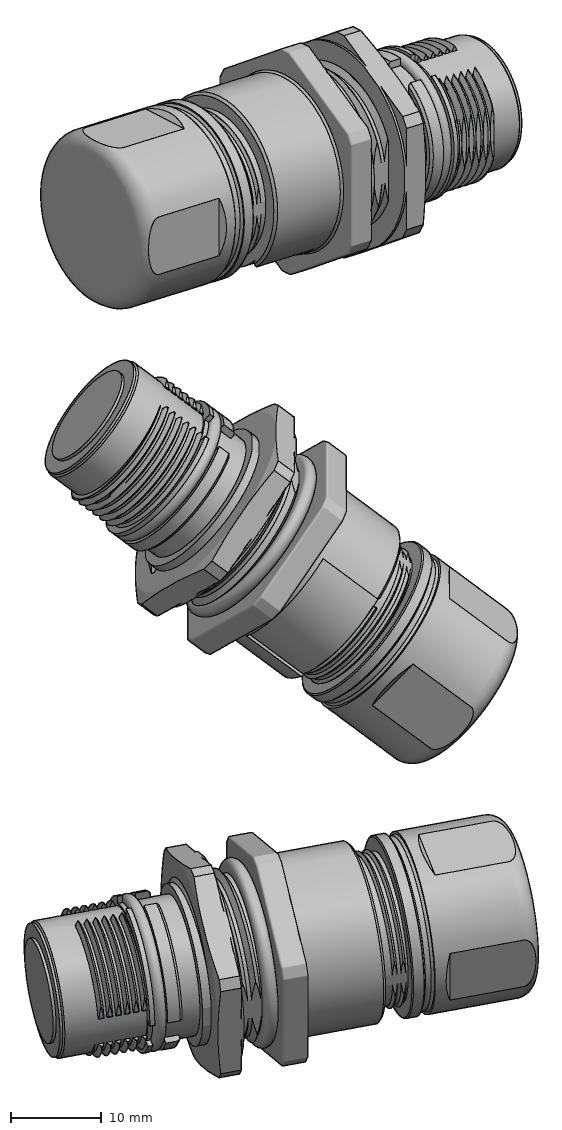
import cadquery as cq
import math

total_length = 54.85
overlap = 0.2
ridge_base_share = 0.9

cap_radius = 10.3
cap_face_radius = 8.23
cap_edge_round = cap_radius - cap_face_radius
cap_flat_distance = 9.7
cap_flat_end = 10.45
cap_end = 12.3
cap_groove_radius = 9.85
cap_groove_lip_radius = 10.0
cap_groove_start = 12.65
cap_groove_end = 13.3
collar_step_start = 13.55
collar_end = 14.93
collar_chamfer = 0.15

neck_root_radius = 8.56
neck_crest_radius = 8.9
neck_flat_distance = 8.53
neck_thread_start = 14.5
neck_thread_end = 17.75
neck_pitch = 1.0

body_radius = 10.3
body_start = 17.9
body_chamfer = 0.3
body_end = 27.27
body_base_radius = 10.5
body_base_height = 0.3
label_floor_radius = 9.66
label_half_width = 6.5
label_end = 26.1

hex_across_flats = 23.9
hex_across_corners = 26.8
flange_end = 30.17
flange_edge_round = 0.25
nut_start = 34.65
nut_end = 37.6
nut_boss_radius = 12.05
nut_boss_height = 0.3
nut_chamfer_height = 0.35

seal_radius = 10.7
seal_end = 31.8
seal_rear_round = 0.7

panel_root_radius = 9.15
panel_crest_radius = 9.87
panel_flat_distance = 9.05
panel_thread_start = 31.0
panel_thread_end = 38.45
panel_end = 38.6
panel_pitch = 1.5

rear_neck_radius = 8.0
rear_collar_radius = 8.86
front_collar_start = 40.8
front_collar_end = 42.53
front_collar_chamfer = 0.3
rear_collar_start = 44.0
rear_collar_end = 44.57

sleeve_radius = 7.74
sleeve_thread_crest_radius = 8.4
sleeve_thread_start = 43.84
sleeve_thread_end = 50.47
sleeve_pitch = 1.0
sleeve_edge_start = 54.0
sleeve_tip_radius = 7.55
sleeve_tip_start = 54.5
tip_radius = 5.92

top_keyway_range = (1.13, 4.74)
sleeve_side_keyway_range = (-2.73, 1.4)
collar_side_keyway_range = (-3.7, 0.0)


def cylinder(radius, start, end):
    """Cylinder about the Y axis between two Y positions."""
    return cq.Workplane("XZ", origin=(0, start, 0)).circle(radius).extrude(start - end)


def tube(inner_radius, outer_radius, start, end):
    """Tube about the Y axis between two Y positions."""
    bore = cylinder(inner_radius, start - overlap, end + overlap)
    return cylinder(outer_radius, start, end).cut(bore)


def turned_solid(outline):
    """Close an outline drawn with X as radius and Y as length, and turn it about the Y axis."""
    return outline.close().revolve(360, (0, 0, 0), (0, 1, 0))


def box_between(x_range, y_range, z_range):
    """Box spanning the given ranges."""
    ranges = (x_range, y_range, z_range)
    sizes = [high - low for low, high in ranges]
    centre = tuple((low + high) / 2 for low, high in ranges)
    return cq.Workplane("XY").box(*sizes).translate(centre)


def thread_ridge(root_radius, crest_radius, start, end, pitch):
    """Right-handed V ridge around the Y axis, rooted slightly below the thread root."""
    inner_radius = root_radius - overlap
    half_base = ridge_base_share * pitch / 2
    height = end - start - 2 * half_base

    def helix(radius, offset):
        return cq.Wire.makeHelix(pitch, height, radius).translate(cq.Vector(0, 0, offset))

    lower = helix(inner_radius, -half_base)
    crest = helix(crest_radius, 0)
    upper = helix(inner_radius, half_base)
    sides = ((lower, crest), (crest, upper), (upper, lower))
    faces = [cq.Face.makeRuledSurface(first, second) for first, second in sides]
    for at in (0, 1):
        corners = [wire.positionAt(at) for wire in (lower, crest, upper)]
        faces.append(cq.Face.makeFromWires(cq.Wire.makePolygon(corners, close=True)))
    shell = cq.Shell.makeShell(faces)
    ridge = cq.Workplane(cq.Solid.makeSolid(shell))
    return ridge.rotate((0, 0, 0), (1, 0, 0), -90).translate((0, start + half_base, 0))


def side_flats(distance, start, end):
    """Cutters that leave flats at X = -distance and X = +distance."""
    reach = 2 * distance
    left = box_between((-reach, -distance), (start, end), (-reach, reach))
    return left.union(left.mirror("YZ"))


def threaded_with_flats(
    root_radius, crest_radius, flat_distance, start, thread_start, thread_end, end, pitch
):
    """Threaded cylinder with two opposite flats along its length."""
    core = cylinder(root_radius, start, end)
    ridge = thread_ridge(root_radius, crest_radius, thread_start, thread_end, pitch)
    return core.union(ridge).cut(side_flats(flat_distance, start, end))


def keyways(side_range, start, end):
    """Cutters for the keyway on top and the keyway on the -X side."""
    reach = 2 * rear_collar_radius
    top = box_between(top_keyway_range, (start, end), (0, reach))
    side = box_between((-reach, 0), (start, end), side_range)
    return top.union(side)


def cap():
    """Closed cap with a rounded edge, four wrench flats, a groove and a front collar."""
    round_middle = cap_edge_round * (1 - math.sqrt(0.5))
    turned = turned_solid(
        cq.Workplane("XY")
        .lineTo(cap_face_radius, 0)
        .threePointArc((cap_radius - round_middle, round_middle), (cap_radius, cap_edge_round))
        .lineTo(cap_radius, cap_end)
        .lineTo(cap_groove_lip_radius, cap_end)
        .lineTo(cap_groove_radius, cap_groove_start)
        .lineTo(cap_groove_radius, cap_groove_end)
        .lineTo(cap_radius - collar_chamfer, collar_step_start)
        .lineTo(cap_radius, collar_step_start)
        .lineTo(cap_radius, collar_end - collar_chamfer)
        .lineTo(cap_radius - collar_chamfer, collar_end)
        .lineTo(0, collar_end)
    )
    ramp = cap_radius
    flat = (
        cq.Workplane("YZ")
        .moveTo(-overlap, cap_flat_distance)
        .lineTo(cap_flat_end, cap_flat_distance)
        .lineTo(cap_flat_end + ramp, cap_flat_distance + ramp)
        .lineTo(-overlap, cap_flat_distance + ramp)
        .close()
        .extrude(cap_radius, both=True)
    )
    for quarter in range(4):
        turned = turned.cut(flat.rotate((0, 0, 0), (0, 1, 0), 90 * quarter))
    return turned


def body():
    """Plain cylindrical body with chamfered front edge and a shallow label recess underneath."""
    barrel = cylinder(body_radius, body_start, body_end).faces("<Y").chamfer(body_chamfer)
    base_flare = turned_solid(
        cq.Workplane("XY")
        .moveTo(0, body_end - body_base_height)
        .lineTo(body_radius, body_end - body_base_height)
        .lineTo(body_base_radius, body_end)
        .lineTo(0, body_end)
    )
    recess = tube(label_floor_radius, body_radius + overlap, body_start - overlap, label_end)
    label_area = box_between(
        (-label_half_width, label_half_width), (body_start - overlap, label_end), (-2 * body_radius, 0)
    )
    return barrel.cut(recess.intersect(label_area)).union(base_flare)


def hexagon(start, end):
    """Hexagon with flats facing +X and -X and truncated corners."""

    def prism(across_flats, turn):
        across_points = across_flats / math.cos(math.pi / 6)
        blank = cq.Workplane("XZ", origin=(0, start, 0)).polygon(6, across_points).extrude(start - end)
        return blank.rotate((0, 0, 0), (0, 1, 0), turn)

    return prism(hex_across_flats, 30).intersect(prism(hex_across_corners, 0))


def flange():
    """Hexagon flange with all edges rounded."""
    return hexagon(body_end, flange_end).edges().fillet(flange_edge_round)


def nut():
    """Hexagon nut with a round boss in front and a conical chamfer behind."""
    corner_radius = hex_across_corners / 2 + overlap
    envelope = turned_solid(
        cq.Workplane("XY")
        .moveTo(0, nut_start)
        .lineTo(nut_boss_radius, nut_start)
        .lineTo(nut_boss_radius, nut_start + nut_boss_height)
        .lineTo(corner_radius, nut_start + nut_boss_height)
        .lineTo(corner_radius, nut_end - nut_chamfer_height)
        .lineTo(nut_boss_radius, nut_end)
        .lineTo(0, nut_end)
    )
    return hexagon(nut_start, nut_end).intersect(envelope)


def seal():
    """Seal ring with a fully rounded outer face."""
    front_round = seal_end - seal_rear_round - flange_end
    shoulder = seal_end - seal_rear_round
    return turned_solid(
        cq.Workplane("XY")
        .moveTo(0, flange_end)
        .lineTo(seal_radius - front_round, flange_end)
        .radiusArc((seal_radius, shoulder), -front_round)
        .radiusArc((seal_radius - seal_rear_round, seal_end), -seal_rear_round)
        .lineTo(0, seal_end)
    )


def collars():
    """Two interrupted collars with an O-ring seated between them."""
    neck = cylinder(rear_neck_radius, panel_end, rear_collar_end)
    rings = cylinder(rear_collar_radius, front_collar_start, front_collar_end)
    rings = rings.faces("<Y").chamfer(front_collar_chamfer)
    rings = rings.union(cylinder(rear_collar_radius, rear_collar_start, rear_collar_end))
    rings = rings.cut(keyways(collar_side_keyway_range, front_collar_start, rear_collar_end))
    half_width = (rear_collar_start - front_collar_end) / 2
    o_ring = turned_solid(
        cq.Workplane("XY")
        .moveTo(0, front_collar_end)
        .lineTo(rear_collar_radius - half_width, front_collar_end)
        .threePointArc(
            (rear_collar_radius, front_collar_end + half_width),
            (rear_collar_radius - half_width, rear_collar_start),
        )
        .lineTo(0, rear_collar_start)
    )
    return neck.union(rings).union(o_ring)


def sleeve():
    """Plug sleeve whose thread is interrupted by the keyways."""
    turned = turned_solid(
        cq.Workplane("XY")
        .moveTo(0, sleeve_thread_end)
        .lineTo(sleeve_radius, sleeve_thread_end)
        .lineTo(sleeve_radius, sleeve_edge_start)
        .lineTo(sleeve_tip_radius, sleeve_edge_start + sleeve_radius - sleeve_tip_radius)
        .lineTo(sleeve_tip_radius, sleeve_tip_start)
        .lineTo(tip_radius, sleeve_tip_start)
        .lineTo(tip_radius, total_length)
        .lineTo(0, total_length)
    )
    windows = keyways(sleeve_side_keyway_range, sleeve_thread_start, sleeve_thread_end)
    core = cylinder(sleeve_radius, rear_collar_end, sleeve_thread_end)
    ridge_end = sleeve_thread_end + sleeve_pitch
    ridge = thread_ridge(
        sleeve_radius, sleeve_thread_crest_radius, sleeve_thread_start, ridge_end, sleeve_pitch
    )
    cutter_end = ridge_end + sleeve_pitch
    run_out = tube(sleeve_radius - 2 * overlap, 2 * sleeve_radius, sleeve_thread_end, cutter_end)
    flats = side_flats(sleeve_radius, sleeve_thread_start, cutter_end)
    thread = ridge.cut(run_out).cut(flats).cut(windows)
    return turned.union(core).union(thread)


def neck_thread():
    """Threaded neck the cap screws onto."""
    return threaded_with_flats(
        neck_root_radius, neck_crest_radius, neck_flat_distance,
        collar_end, neck_thread_start, neck_thread_end, body_start, neck_pitch,
    )


def panel_thread():
    """Threaded section that carries the nut."""
    return threaded_with_flats(
        panel_root_radius, panel_crest_radius, panel_flat_distance,
        flange_end, panel_thread_start, panel_thread_end, panel_end, panel_pitch,
    )


result = cap()
for section in (neck_thread(), body(), flange(), panel_thread(), seal(), nut(), collars(), sleeve()):
    result = result.union(section)